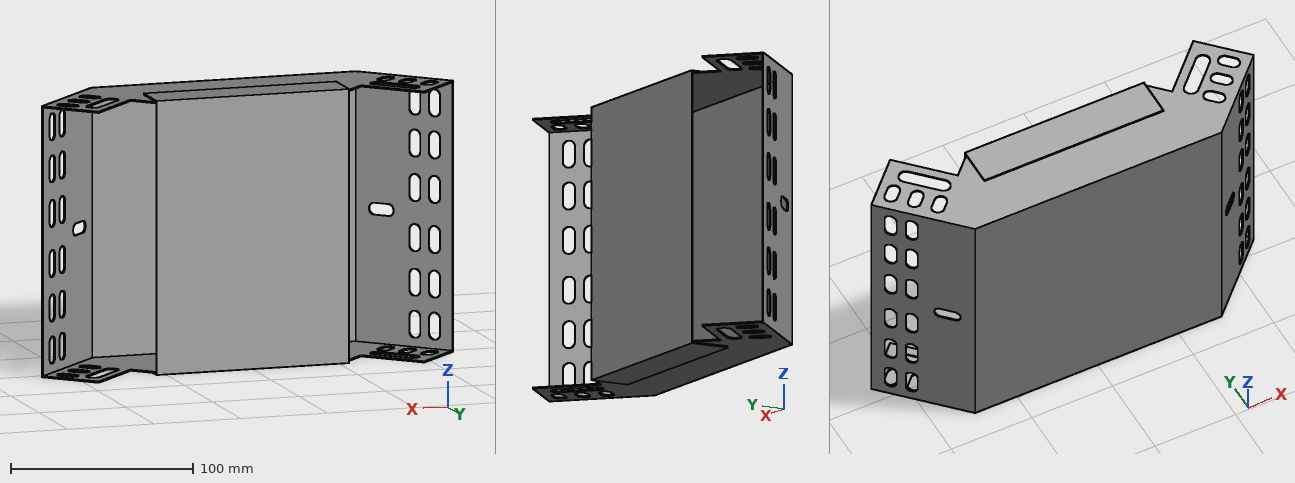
import cadquery as cq
import math

LENGTH = 237.2
TOTAL_DEPTH = 67.0
TOTAL_HEIGHT = 153.3
SHEET = 0.8
BRACKET_HEIGHT = TOTAL_HEIGHT - 2 * SHEET
FRONT_LENGTH = 152.8

WING_ANGLE = 45.0
COS_WING = math.cos(math.radians(WING_ANGLE))
HALF_LENGTH = LENGTH / 2
HALF_FRONT = FRONT_LENGTH / 2
WING_REACH = HALF_LENGTH - HALF_FRONT
EAR_RUN = TOTAL_DEPTH - WING_REACH
NOTCH_X = 66.5
NOTCH_Y = TOTAL_DEPTH - (HALF_LENGTH - EAR_RUN - NOTCH_X)

COVER_LENGTH = 111.0
COVER_BACK_Y = 51.7
COVER_LIP = 23.0
COVER_INNER_Y = COVER_BACK_Y - SHEET

WING_SLOT_WIDTH = 6.9
WING_SLOT_LENGTH = 15.2
WING_SLOT_FROM_END = (11.2, 23.2)
WING_SLOT_HEIGHTS = (14.0, 39.0, 62.5)

MID_SLOT_WIDTH = 6.6
MID_SLOT_LENGTH = 15.2
MID_SLOT_FROM_END = 44.0

EAR_SLOT_WIDTH = 7.0
EAR_SLOT_LENGTH = 12.3
EAR_SLOT_FROM_END = (8.5, 22.0, 35.5)
EAR_SLOT_FROM_WING = 11.6
LONG_SLOT_WIDTH = 8.0
LONG_SLOT_LENGTH = 29.7
LONG_SLOT_FROM_END = 22.8
LONG_SLOT_FROM_WING = 25.6


def tip_plane(normal):
    """Plane at the right-hand wing tip, its first axis running down the wing to the fold."""
    return cq.Plane(
        origin=(HALF_LENGTH, WING_REACH, 0),
        xDir=(-COS_WING, -COS_WING, 0),
        normal=normal,
    )


def slot_cutter(plane, points, length, width, angle, depth):
    """Round-ended bars reaching depth to both sides of the plane."""
    return (
        cq.Workplane(plane)
        .pushPoints(points)
        .slot2D(length, width, angle)
        .extrude(depth, both=True)
    )


def both_sides(cutter):
    """A cutter for the right-hand wing together with its mirror image."""
    return cutter.add(cutter.mirror("YZ")).combine()


def bracket_blank():
    """Folded sheet: front panel, two wings, and a flange along the top and bottom."""
    half_outline = [
        (HALF_FRONT, 0),
        (HALF_LENGTH, WING_REACH),
        (HALF_LENGTH - EAR_RUN, TOTAL_DEPTH),
        (NOTCH_X, NOTCH_Y),
        (NOTCH_X - (COVER_INNER_Y - NOTCH_Y), COVER_INNER_Y),
    ]
    outline = half_outline + [(-x, y) for x, y in reversed(half_outline)]
    block = cq.Workplane("XY").polyline(outline).close().extrude(BRACKET_HEIGHT / 2, both=True)

    inner_half_front = HALF_FRONT - SHEET * math.tan(math.radians(WING_ANGLE / 2))
    inner_run = TOTAL_DEPTH
    inside = [
        (inner_half_front, SHEET),
        (inner_half_front + inner_run, SHEET + inner_run),
        (-inner_half_front - inner_run, SHEET + inner_run),
        (-inner_half_front, SHEET),
    ]
    cavity = cq.Workplane("XY").polyline(inside).close().extrude(BRACKET_HEIGHT / 2 - SHEET, both=True)
    return block.cut(cavity)


def wing_slots():
    """Upright slots in two columns and one lying slot, cut square through each wing."""
    wing_plane = tip_plane((-COS_WING, COS_WING, 0))
    upright_points = [
        (from_end, side * height)
        for from_end in WING_SLOT_FROM_END
        for height in WING_SLOT_HEIGHTS
        for side in (-1, 1)
    ]
    upright = slot_cutter(wing_plane, upright_points, WING_SLOT_LENGTH, WING_SLOT_WIDTH, 90, 2 * SHEET)
    lying = slot_cutter(
        wing_plane, [(MID_SLOT_FROM_END, 0)], MID_SLOT_LENGTH, MID_SLOT_WIDTH, 0, 2 * SHEET
    )
    return both_sides(upright.add(lying).combine())


def ear_slots():
    """Three short slots and one long slot, cut through both flanges at each ear."""
    ear_plane = tip_plane((0, 0, -1))
    short_points = [(from_end, EAR_SLOT_FROM_WING) for from_end in EAR_SLOT_FROM_END]
    short = slot_cutter(ear_plane, short_points, EAR_SLOT_LENGTH, EAR_SLOT_WIDTH, 90, BRACKET_HEIGHT)
    long_points = [(LONG_SLOT_FROM_END, LONG_SLOT_FROM_WING)]
    long = slot_cutter(ear_plane, long_points, LONG_SLOT_LENGTH, LONG_SLOT_WIDTH, 0, BRACKET_HEIGHT)
    return both_sides(short.add(long).combine())


def make_bracket():
    return bracket_blank().cut(wing_slots()).cut(ear_slots())


def make_cover():
    """Channel closing the back, its two lips lying on the outside of the flanges."""
    channel = cq.Workplane("XY").box(COVER_LENGTH, COVER_LIP, TOTAL_HEIGHT)
    hollow = (
        cq.Workplane("XY")
        .box(COVER_LENGTH, COVER_LIP, BRACKET_HEIGHT)
        .translate((0, -SHEET, 0))
    )
    return channel.cut(hollow).translate((0, COVER_BACK_Y - COVER_LIP / 2, 0))


bracket = make_bracket()
cover = make_cover()

result = cq.Compound.makeCompound([bracket.val(), cover.val()])